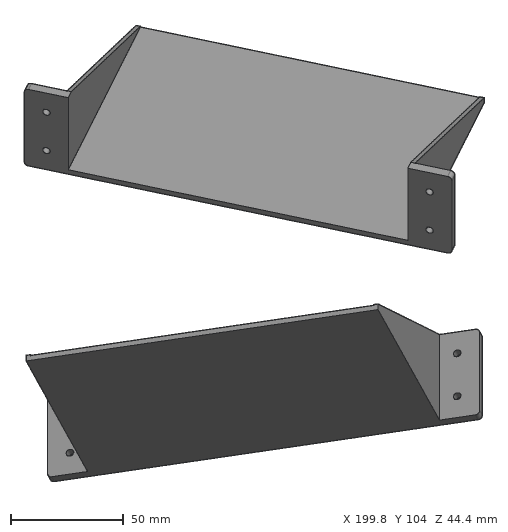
import cadquery as cq

width = 199.8
depth = 104.0
height = 44.4

floor_thickness = 2.5
wall_thickness = 2
flange_thickness = 4.4

inner_width = 158.6
flange_width = (width - inner_width) / 2
corner_radius = 2
rear_wall_height = 3.0

hole_diameter = 3.4
hole_spacing_x = 179.0
hole_spacing_z = 22.2


def make_floor():
    return cq.Workplane("XY").box(inner_width, depth, floor_thickness, centered=(True, False, False))


def make_side_wall(inner_x):
    """Wall that slopes down from the flange to the rear edge."""
    return (
        cq.Workplane("YZ", origin=(inner_x, 0, 0))
        .moveTo(0, 0)
        .lineTo(depth, 0)
        .lineTo(depth, rear_wall_height)
        .lineTo(flange_thickness, height)
        .lineTo(0, height)
        .close()
        .extrude(wall_thickness)
    )


def make_flange(side):
    """Upright plate with its two outer corners rounded; side is -1 or 1."""
    center_x = side * (inner_width + flange_width) / 2
    outer_edges = "|Y and >X" if side > 0 else "|Y and <X"
    return (
        cq.Workplane("XY")
        .center(center_x, 0)
        .box(flange_width, flange_thickness, height, centered=(True, False, False))
        .edges(outer_edges)
        .fillet(corner_radius)
    )


def make_holes():
    return (
        cq.Workplane("XZ", origin=(0, 0, height / 2))
        .rarray(hole_spacing_x, hole_spacing_z, 2, 2)
        .circle(hole_diameter / 2)
        .extrude(-flange_thickness)
    )


result = make_floor()
for wall_x in (-inner_width / 2 - wall_thickness, inner_width / 2):
    result = result.union(make_side_wall(wall_x))
for flange_side in (-1, 1):
    result = result.union(make_flange(flange_side))
result = result.cut(make_holes())